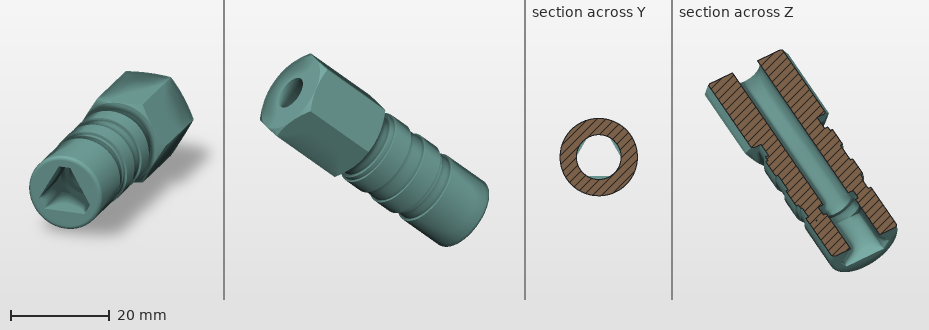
import cadquery as cq
import math

HEAD_END = 11.0
GROOVE_END = 13.5
FRONT_LIP_END = 14.5
FRONT_COLLAR_END = 18.8
MIDDLE_END = 22.8
REAR_COLLAR_END = 27.0
REAR_LIP_END = 28.0
NECK_END = 31.0
TOTAL_LENGTH = 49.0

HEAD_DIAMETER = 15.8
GROOVE_DIAMETER = 14.6
BODY_DIAMETER = 15.2
COLLAR_DIAMETER = 16.2
NECK_DIAMETER = 13.8
HEAD_EDGE_RADIUS = 0.8

HEX_ACROSS_FLATS = 17.0
HEX_SIDES = 6
HEX_ACROSS_CORNERS = HEX_ACROSS_FLATS / math.cos(math.pi / HEX_SIDES)
HEX_FACE_DIAMETER = 16.9
HEX_CHAMFER_ANGLE = 30.0

SOCKET_FLAT_DISTANCE = 3.9
SOCKET_CORNER_DISTANCE = 5.7
SOCKET_DEPTH = 10.0
RELIEF_DIAMETER = 9.0
RELIEF_DEPTH = 12.0
BORE_DIAMETER = 7.0


def section_plane(y):
    """XZ sketch plane at station y, with X right, Z up and its normal along -Y."""
    return cq.Workplane("XZ", origin=(0, y, 0))


def cylinder(diameter, start, end):
    """Round bar on the Y axis between two stations."""
    return section_plane(start).circle(diameter / 2).extrude(start - end)


def turned_body():
    """Stepped round body from the socket end to the hexagon."""
    body = cylinder(HEAD_DIAMETER, 0, HEAD_END).faces("<Y").edges().fillet(HEAD_EDGE_RADIUS)
    steps = [
        (GROOVE_DIAMETER, GROOVE_END),
        (BODY_DIAMETER, FRONT_LIP_END),
        (COLLAR_DIAMETER, FRONT_COLLAR_END),
        (BODY_DIAMETER, MIDDLE_END),
        (COLLAR_DIAMETER, REAR_COLLAR_END),
        (BODY_DIAMETER, REAR_LIP_END),
        (NECK_DIAMETER, NECK_END),
    ]
    start = HEAD_END
    for diameter, end in steps:
        body = body.union(cylinder(diameter, start, end))
        start = end
    return body


def hexagon():
    """Hexagonal end with both sets of corners trimmed by cones."""
    prism = section_plane(NECK_END).polygon(HEX_SIDES, HEX_ACROSS_CORNERS).extrude(NECK_END - TOTAL_LENGTH)
    face_radius = HEX_FACE_DIAMETER / 2
    corner_radius = HEX_ACROSS_CORNERS / 2
    chamfer_length = (corner_radius - face_radius) * math.tan(math.radians(HEX_CHAMFER_ANGLE))
    envelope = (
        cq.Workplane("XY")
        .moveTo(0, NECK_END)
        .lineTo(face_radius, NECK_END)
        .lineTo(corner_radius, NECK_END + chamfer_length)
        .lineTo(corner_radius, TOTAL_LENGTH - chamfer_length)
        .lineTo(face_radius, TOTAL_LENGTH)
        .lineTo(0, TOTAL_LENGTH)
        .close()
        .revolve(360, (0, 0, 0), (0, 1, 0))
    )
    return prism.intersect(envelope)


def socket():
    """Triangular pocket, flat side down, with its three corners cut flat."""
    long_half = (2 * SOCKET_CORNER_DISTANCE - SOCKET_FLAT_DISTANCE) / math.sqrt(3)
    reach = math.hypot(SOCKET_FLAT_DISTANCE, long_half)
    half_angle = math.degrees(math.atan2(long_half, SOCKET_FLAT_DISTANCE))
    points = []
    for side_angle in (-90, 30, 150):
        for angle in (side_angle - half_angle, side_angle + half_angle):
            theta = math.radians(angle)
            points.append((reach * math.cos(theta), reach * math.sin(theta)))
    return section_plane(0).polyline(points).close().extrude(-SOCKET_DEPTH)


result = (
    turned_body()
    .union(hexagon())
    .cut(socket())
    .cut(cylinder(RELIEF_DIAMETER, SOCKET_DEPTH, RELIEF_DEPTH))
    .cut(cylinder(BORE_DIAMETER, 0, TOTAL_LENGTH))
)